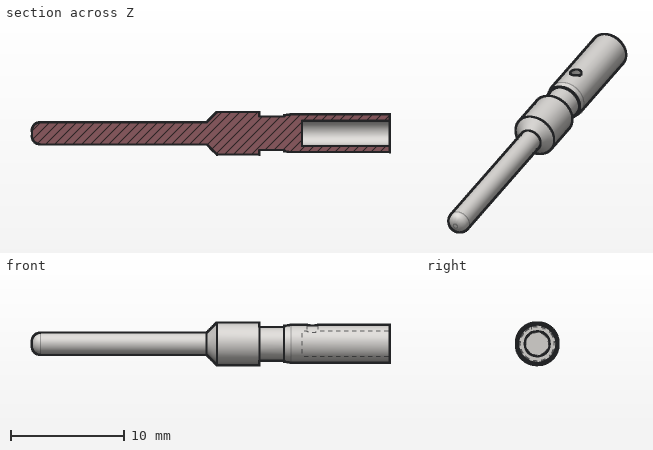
import cadquery as cq

total_length = 31.7
pin_radius = 2.0 / 2
tip_rounding = 0.8
collar_radius = 1.9
collar_start = 16.4
collar_end = 20.15
neck_radius = 3.0 / 2
neck_end = 22.35
barrel_radius = 3.4 / 2
barrel_start = 22.95
barrel_lead_radius = 3.2 / 2

bore_radius = 1.1
bore_end = 23.93
inspection_radius = 0.5
inspection_x = 24.85

shoulder_start = collar_start - (collar_radius - pin_radius)


def turned_body():
    body = (
        cq.Workplane("XY")
        .lineTo(0, pin_radius)
        .lineTo(shoulder_start, pin_radius)
        .lineTo(collar_start, collar_radius)
        .lineTo(collar_end, collar_radius)
        .lineTo(collar_end, neck_radius)
        .lineTo(neck_end, neck_radius)
        .lineTo(neck_end, barrel_lead_radius)
        .lineTo(barrel_start, barrel_radius)
        .lineTo(total_length, barrel_radius)
        .lineTo(total_length, 0)
        .close()
        .revolve(360, (0, 0, 0), (1, 0, 0))
    )
    return body.faces("<X").edges().fillet(tip_rounding)


def wire_bore():
    depth = total_length - bore_end
    return cq.Workplane("YZ", origin=(bore_end, 0, 0)).circle(bore_radius).extrude(depth)


def inspection_hole():
    """Radial hole through the upper wall only, reaching the wire bore."""
    return cq.Workplane("XY").center(inspection_x, 0).circle(inspection_radius).extrude(barrel_radius)


result = turned_body().cut(wire_bore()).cut(inspection_hole())